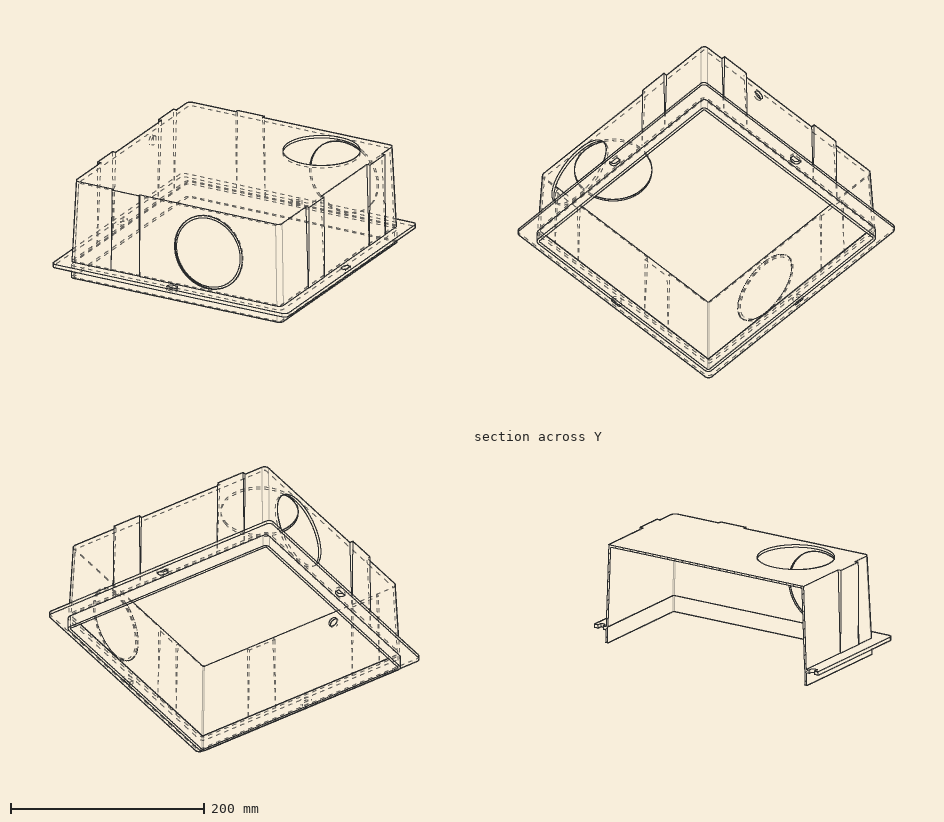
import cadquery as cq

flange_size = 278.0
total_height = 108.0
skirt_height = 14.0
flange_thickness = 4.0
flange_corner_radius = 5.0

base_size = 250.2
foot_size = 249.5
roof_size = 242.7
box_corner_radius = 5.0
wall = 2.8
cavity_corner_radius = 1.0

flange_top = skirt_height + flange_thickness
box_height = total_height - flange_top
half_base = base_size / 2
wall_slope = (foot_size - roof_size) / 2 / box_height

pad_roof_width = 31.7
pad_base_width = 34.0
pad_depth = 4.7
front_pad_recess = 1.0
front_pad_x = -59.8
back_pad_x = -49.8
side_pad_places = (79.8, -49.8)

duct_diameter = 80.0
duct_x = 62.3
roof_duct_y = 73.7
side_duct_z = 60.5
knockout_x = 37.8
knockout_disc_diameter = 75.3
groove_depth = 1.7
cable_hole_diameter = 10.0
cable_hole_y = 42.8
cable_hole_z = 93.5

slot_length = 11.0
slot_width = 6.5
slot_corner_radius = 4.0
slot_offset = 131.2


def rounded_square(size, radius):
    """Sketch of a centred square with rounded corners."""
    return cq.Sketch().rect(size, size).vertices().fillet(radius)


def straight_block(size, height, radius):
    """Upright square block standing on Z = 0."""
    return cq.Workplane("XY").placeSketch(rounded_square(size, radius)).extrude(height)


def tapered_block(foot, roof, height, radius):
    """Square block standing on Z = 0 that narrows from foot to roof."""
    return (
        cq.Workplane("XY")
        .placeSketch(
            rounded_square(foot, radius),
            rounded_square(roof, radius).moved(cq.Location(cq.Vector(0, 0, height))),
        )
        .loft()
    )


def pad_prism(place, inner, outer):
    """Pad on the -Y wall, wider at its foot, between two distances from the centre."""
    return (
        cq.Workplane("XZ", origin=(place, -inner, flange_top))
        .polyline([
            (-pad_base_width / 2, 0),
            (pad_base_width / 2, 0),
            (pad_roof_width / 2, box_height),
            (-pad_roof_width / 2, box_height),
        ])
        .close()
        .extrude(outer - inner)
    )


def turn(body, angle):
    """Rotate a body about the vertical centre axis."""
    return body.rotate((0, 0, 0), (0, 0, 1), angle)


skirt = straight_block(base_size, flange_top, box_corner_radius)
flange = straight_block(flange_size, flange_thickness, flange_corner_radius)
box = tapered_block(foot_size, roof_size, box_height, box_corner_radius)
body = (
    skirt
    .union(flange.translate((0, 0, skirt_height)))
    .union(box.translate((0, 0, flange_top)))
)

pad_back = half_base - pad_depth
for place in side_pad_places:
    body = body.union(turn(pad_prism(-place, pad_back, half_base), -90))
    body = body.union(turn(pad_prism(place, pad_back, half_base), 90))
body = body.union(turn(pad_prism(-back_pad_x, pad_back, half_base), 180))

front_pad_face = half_base - front_pad_recess
body = body.cut(pad_prism(front_pad_x, front_pad_face, half_base))
body = body.union(pad_prism(front_pad_x, pad_back, front_pad_face))

skirt_cavity = straight_block(base_size - 2 * wall, flange_top, cavity_corner_radius)
box_cavity = tapered_block(
    foot_size - 2 * wall, roof_size - 2 * wall, box_height - wall, cavity_corner_radius
)
body = body.cut(skirt_cavity).cut(box_cavity.translate((0, 0, flange_top)))

roof_duct = (
    cq.Workplane("XY", origin=(duct_x, roof_duct_y, flange_top))
    .circle(duct_diameter / 2)
    .extrude(box_height)
)
back_duct = (
    cq.Workplane("XZ", origin=(duct_x, half_base, side_duct_z))
    .circle(duct_diameter / 2)
    .extrude(half_base / 2)
)
body = body.cut(roof_duct).cut(back_duct)

knockout_y = -foot_size / 2 + wall_slope * (side_duct_z - flange_top)
knockout_plane = cq.Plane(
    origin=(knockout_x, knockout_y, side_duct_z), xDir=(1, 0, 0), normal=(0, -1, wall_slope)
)
groove_bore = cq.Workplane(knockout_plane).circle(duct_diameter / 2).extrude(-groove_depth)
knockout_disc = (
    cq.Workplane(knockout_plane)
    .circle(knockout_disc_diameter / 2)
    .workplane(offset=-groove_depth)
    .circle(duct_diameter / 2)
    .loft()
)
body = body.cut(groove_bore.cut(knockout_disc))

cable_hole = (
    cq.Workplane("YZ", origin=(-half_base, cable_hole_y, cable_hole_z))
    .circle(cable_hole_diameter / 2)
    .extrude(half_base / 2)
)
body = body.cut(cable_hole)

slot = (
    cq.Workplane("XY", origin=(0, -slot_offset, skirt_height))
    .rect(slot_length, slot_width)
    .extrude(flange_thickness)
    .edges("|Z and >Y")
    .fillet(slot_corner_radius)
)
for angle in (0, 90, 180, 270):
    body = body.cut(turn(slot, angle))

result = body